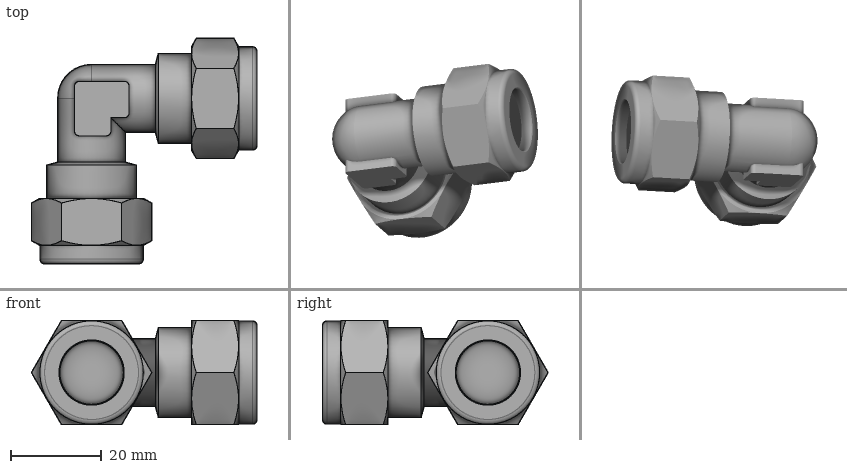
import cadquery as cq
import math

ARM_LENGTH = 36.5
PIPE_RADIUS = 7.5

COLLAR_RADIUS = 9.95
COLLAR_START = 14.05
COLLAR_CONE_ANGLE = 15.0

NUT_FLATS = 23.0
NUT_CORNERS = NUT_FLATS / math.cos(math.radians(30))
NUT_START = 22.05
NUT_END = 32.45
NUT_CHAMFER_ANGLE = 30.0
COUNTERSINK_WIDTH = 0.75
COUNTERSINK_DEPTH = 0.75

NOSE_RADIUS = 11.4
NOSE_FILLET = 1.05
SOCKET_RADIUS = 7.0
SOCKET_DEPTH = 2.5
SOCKET_CHAMFER = 0.2

PAD_LENGTH = 12.0
PAD_WIDTH = 8.0
PAD_OFFSET = 3.75
PAD_HALF_HEIGHT = 8.5
PAD_CORNER_RADIUS = 1.0

ARM_PLANES = [
    cq.Plane(origin=(0, 0, 0), xDir=(0, 1, 0), normal=(1, 0, 0)),
    cq.Plane(origin=(0, 0, 0), xDir=(1, 0, 0), normal=(0, -1, 0)),
]


def revolved(profile):
    """Solid of revolution about Z from (radius, height) points."""
    return cq.Workplane("XZ").polyline(profile).close().revolve(360, (0, 0, 0), (0, 1, 0))


def make_pipe_and_collar():
    cone_height = (COLLAR_RADIUS - PIPE_RADIUS) * math.tan(math.radians(COLLAR_CONE_ANGLE))
    return revolved([
        (0, 0),
        (PIPE_RADIUS, 0),
        (PIPE_RADIUS, COLLAR_START),
        (COLLAR_RADIUS, COLLAR_START + cone_height),
        (COLLAR_RADIUS, NUT_END),
        (0, NUT_END),
    ])


def make_nut():
    """Hexagon chamfered to the flats at the back and to the nose at the front."""
    hexagon = (
        cq.Workplane("XY", origin=(0, 0, NUT_START))
        .polygon(6, NUT_CORNERS)
        .extrude(NUT_END - NUT_START)
    )
    back_radius = NUT_FLATS / 2
    corner_radius = NUT_CORNERS / 2
    chamfer_slope = math.tan(math.radians(NUT_CHAMFER_ANGLE))
    back_chamfer = (corner_radius - back_radius) * chamfer_slope
    front_chamfer = (corner_radius - NOSE_RADIUS) * chamfer_slope
    chamfered_envelope = revolved([
        (0, NUT_START),
        (back_radius, NUT_START),
        (corner_radius, NUT_START + back_chamfer),
        (corner_radius, NUT_END - front_chamfer),
        (NOSE_RADIUS, NUT_END),
        (0, NUT_END),
    ])
    countersink = revolved([
        (0, NUT_START),
        (COLLAR_RADIUS + COUNTERSINK_WIDTH, NUT_START),
        (COLLAR_RADIUS, NUT_START + COUNTERSINK_DEPTH),
        (0, NUT_START + COUNTERSINK_DEPTH),
    ])
    return hexagon.intersect(chamfered_envelope).cut(countersink)


def make_nose():
    nose = (
        cq.Workplane("XY", origin=(0, 0, NUT_END))
        .circle(NOSE_RADIUS)
        .extrude(ARM_LENGTH - NUT_END)
        .faces(">Z").edges().fillet(NOSE_FILLET)
    )
    socket = revolved([
        (0, ARM_LENGTH - SOCKET_DEPTH),
        (SOCKET_RADIUS, ARM_LENGTH - SOCKET_DEPTH),
        (SOCKET_RADIUS, ARM_LENGTH - SOCKET_CHAMFER),
        (SOCKET_RADIUS + SOCKET_CHAMFER, ARM_LENGTH),
        (0, ARM_LENGTH),
    ])
    return nose.cut(socket)


def make_pads():
    """L-shaped block through the bend; its inner corner stays sharp."""
    outer = -PAD_OFFSET
    tip = outer + PAD_LENGTH
    inner = outer + PAD_WIDTH
    block = (
        cq.Workplane("XY", origin=(0, 0, -PAD_HALF_HEIGHT))
        .polyline([
            (outer, -outer),
            (tip, -outer),
            (tip, -inner),
            (inner, -inner),
            (inner, -tip),
            (outer, -tip),
        ])
        .close()
        .extrude(2 * PAD_HALF_HEIGHT)
    )
    vertical_edges = cq.selectors.ParallelDirSelector(cq.Vector(0, 0, 1))
    inner_corner = cq.selectors.NearestToPointSelector((inner, -inner, 0))
    outer_corners = cq.selectors.SubtractSelector(vertical_edges, inner_corner)
    return block.edges(outer_corners).fillet(PAD_CORNER_RADIUS)


arm = make_pipe_and_collar().union(make_nut()).union(make_nose())

body = cq.Workplane("XY").sphere(PIPE_RADIUS)
for plane in ARM_PLANES:
    body = body.union(cq.Workplane(arm.val().moved(cq.Location(plane))))

result = body.union(make_pads())